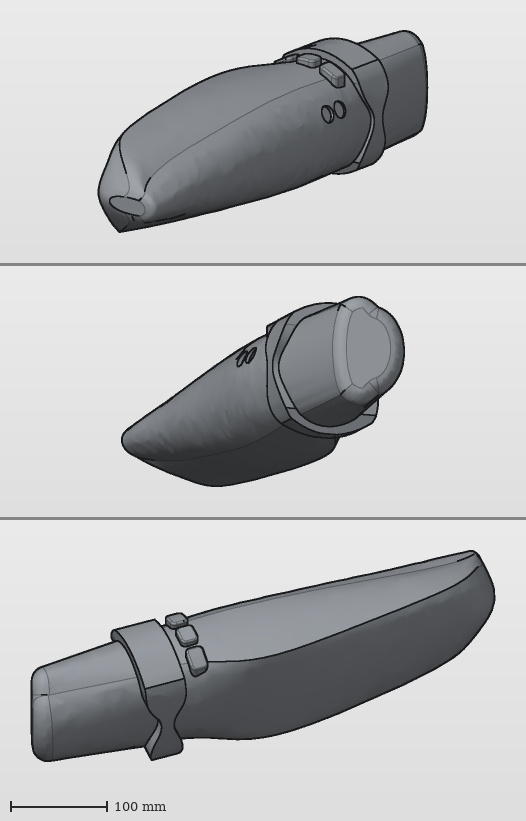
import cadquery as cq
import math

MOUTHPIECE_SECTIONS = [
    (272.0, -46.0, -17.5, 45.0, 56.5, 15.5, 47.0, 21.0),
    (125.5, -53.5, -35.5, 52.5, 60.0, 26.0, 51.0, 47.0),
]
BLADE_SECTIONS = [
    MOUTHPIECE_SECTIONS[-1],
    (63.0, -60.5, -46.0, 56.5, 62.0, 25.0, 53.5, 55.5),
    (0.0, -64.0, -59.5, 59.0, 62.5, 25.0, 53.5, 57.5),
    (-63.0, -61.0, -53.5, 59.0, 60.0, 26.0, 48.5, 57.5),
    (-125.5, -53.0, -42.5, 57.5, 55.0, 28.0, 41.5, 59.0),
    (-178.0, -43.5, -31.5, 55.0, 48.5, 29.0, 34.5, 60.5),
    (-217.5, -34.0, -17.0, 49.5, 41.5, 33.0, 28.0, 63.5),
    (-241.0, -25.5, 7.0, 36.0, 32.5, 39.5, 22.0, 64.0),
    (-255.5, -11.5, 26.0, 20.5, 20.0, 47.0, 17.0, 64.0),
    (-262.0, 5.0, 23.5, 8.5, 9.0, 44.5, 8.5, 52.5),
]
LEFT_FULLNESS = 0.75
RIGHT_FULLNESS = 0.6
HOUSING_DROP = 1.0

END_X = -34.0
END_Y = 263.5
END_SLOPE = 18.0
END_FILLET = 15.5

STRAP_SHAPE = (-64.0, -55.5, 54.0, 68.5, 34.5, 56.0, 53.0)
STRAP_REAR = 147.5
STRAP_FRONT = 103.5
STRAP_SHOULDER_Z = 42.0
STRAP_BOTTOM_Z = -68.0
NECK_Y = 125.0
NECK_WIDTH = 14.0
LOBE_Z = -46.0
LOBE_WIDTH = 35.5
LOBE_END_WIDTH = 19.0

BUTTON_SHAPE = (-63.0, -50.0, 52.5, 67.5, 40.0, 52.5, 52.5)
BUTTON_CENTERS_X = [-35.5, -6.0, 25.0]
BUTTON_Y = 82.5
BUTTON_WIDTH = 23.5
BUTTON_LENGTH = 19.0
BUTTON_CORNER = 5.0
BUTTON_TOP_FILLET = 2.0

RECESS_DIAMETER = 18.5
RECESS_DEPTH = 4.0
RECESS_CENTERS_Y = [65.0, 43.5]
RECESS_X = 51.0
RECESS_Z = 25.5
RECESS_TILT = 24.0

DOWN = (0, -1)
UP = (0, 1)
CLEAR = 209.5


def side_controls(end_x, end_z, middle_x, fullness):
    """Control points of a side curve from (end_x, -end_z) to (end_x, end_z) through (middle_x, 0)."""
    control_x = (4 * middle_x - end_x) / 3
    control_z = fullness * end_z
    return (control_x, -control_z), (control_x, control_z)


def section(y, left, crease_x, crease_z, roof_z, shoulder_x, shoulder_z, right):
    """Closed outline at the given y made of four cubic curves: right side, roof, left side, floor."""
    right_low, right_high = side_controls(shoulder_x, shoulder_z, right, RIGHT_FULLNESS)
    left_low, left_high = side_controls(crease_x, crease_z, left, LEFT_FULLNESS)
    third = (shoulder_x - crease_x) / 3
    roof_control_z = (8 * roof_z - crease_z - shoulder_z) / 6
    near_crease = crease_x + third
    near_shoulder = shoulder_x - third
    shoulder = (shoulder_x, shoulder_z)
    crease = (crease_x, crease_z)
    low_crease = (crease_x, -crease_z)
    low_shoulder = (shoulder_x, -shoulder_z)
    return (
        cq.Workplane("XZ", origin=(0, y, 0))
        .moveTo(*low_shoulder)
        .bezier([low_shoulder, right_low, right_high, shoulder])
        .bezier([shoulder, (near_shoulder, roof_control_z), (near_crease, roof_control_z), crease])
        .bezier([crease, left_high, left_low, low_crease])
        .bezier([low_crease, (near_crease, -roof_control_z), (near_shoulder, -roof_control_z), low_shoulder])
        .close()
    )


def loft(sections):
    """Smooth solid through the listed sections."""
    outlines = [section(*values).wire().val() for values in sections]
    solid = cq.occ_impl.shapes.loft(*outlines, cap=True, parametrization="chordal")
    return cq.Workplane(solid)


def make_housing():
    """Lofted shell with a slanted end and two round recesses."""
    mouthpiece = loft(MOUTHPIECE_SECTIONS)
    blade = loft(BLADE_SECTIONS)
    beyond_end = (
        cq.Workplane("XY")
        .box(2 * CLEAR, CLEAR, 2 * CLEAR, centered=(True, False, True))
        .rotate((0, 0, 0), (0, 0, 1), -END_SLOPE)
        .translate((END_X, END_Y, 0))
    )
    mouthpiece = mouthpiece.cut(beyond_end).faces(">Y").edges().fillet(END_FILLET)
    body = mouthpiece.union(blade).translate((0, 0, -HOUSING_DROP))
    tilt = math.radians(RECESS_TILT)
    outward = cq.Vector(math.cos(tilt), 0, math.sin(tilt))
    for y in RECESS_CENTERS_Y:
        floor_center = cq.Vector(RECESS_X, y, RECESS_Z) - outward * RECESS_DEPTH
        body = body.cut(
            cq.Workplane(cq.Solid.makeCylinder(RECESS_DIAMETER / 2, CLEAR, floor_center, outward))
        )
    return body


def make_strap(housing):
    """Ring around the housing, wide on top, with a narrow neck on each side."""
    ring = section(STRAP_REAR, *STRAP_SHAPE).extrude(STRAP_REAR - STRAP_FRONT)
    half_neck = NECK_WIDTH / 2
    half_lobe = LOBE_WIDTH / 2
    front_neck = (NECK_Y - half_neck, 0)
    rear_neck = (NECK_Y + half_neck, 0)
    front_lobe = (NECK_Y - half_lobe, LOBE_Z)
    rear_lobe = (NECK_Y + half_lobe, LOBE_Z)
    half_end = LOBE_END_WIDTH / 2
    side_outline = (
        cq.Workplane("YZ", origin=(-CLEAR, 0, 0))
        .moveTo(STRAP_FRONT, CLEAR)
        .lineTo(STRAP_FRONT, STRAP_SHOULDER_Z)
        .spline([front_neck, front_lobe], tangents=[DOWN] * 3, includeCurrent=True)
        .lineTo(NECK_Y - half_end, STRAP_BOTTOM_Z)
        .lineTo(NECK_Y + half_end, STRAP_BOTTOM_Z)
        .lineTo(*rear_lobe)
        .spline([rear_neck, (STRAP_REAR, STRAP_SHOULDER_Z)], tangents=[UP] * 3, includeCurrent=True)
        .lineTo(STRAP_REAR, CLEAR)
        .close()
        .extrude(2 * CLEAR)
    )
    return ring.intersect(side_outline).cut(housing)


def make_button(housing, center_x):
    """Rounded button standing on the roof of the housing."""
    block = (
        cq.Workplane("XY")
        .center(center_x, BUTTON_Y)
        .rect(BUTTON_WIDTH, BUTTON_LENGTH)
        .extrude(CLEAR)
        .edges("|Z")
        .fillet(BUTTON_CORNER)
    )
    dome = section(BUTTON_Y + BUTTON_LENGTH, *BUTTON_SHAPE).extrude(2 * BUTTON_LENGTH)
    rounded = block.intersect(dome).faces(">Z").edges().fillet(BUTTON_TOP_FILLET)
    return rounded.cut(housing)


housing = make_housing()
strap = make_strap(housing)
buttons = [make_button(housing, x).val() for x in BUTTON_CENTERS_X]

result = cq.Compound.makeCompound([*housing.vals(), *strap.vals(), *buttons])